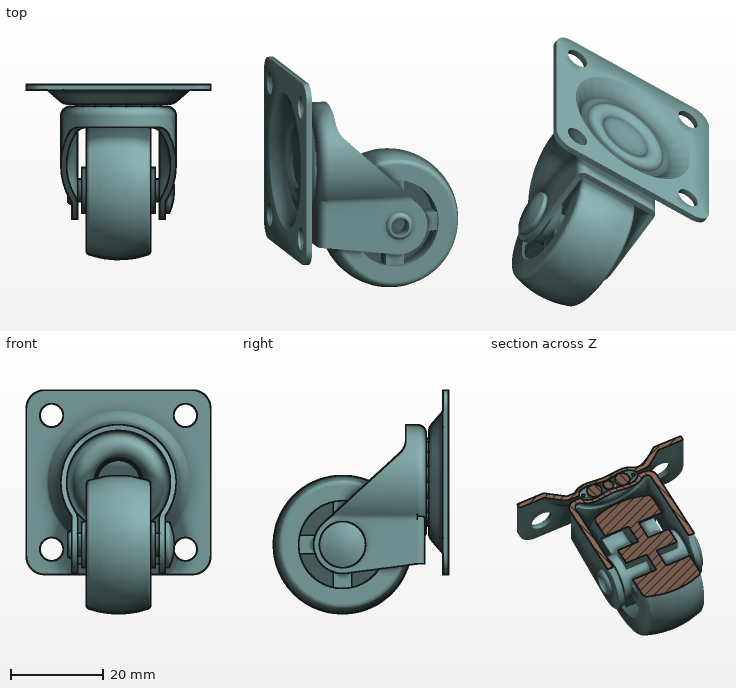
import cadquery as cq
import math


sheet = 1.25

plate_side = 40.0
plate_corner_radius = 4.0
bolt_pitch = 29.0
bolt_diameter = 5.0
dish_base_radius = 15.4
dish_face_radius = 11.9
dish_face_depth = 4.3
dish_root_fillet = 0.5
dish_rim_fillet = 2.4

swivel_gap = 0.5
ball_count = 14
ball_radius = 1.75
race_pitch_radius = 7.8
race_bead_radius = 2.6
ball_depth = dish_face_depth + swivel_gap / 2

kingpin_radius = 4.9
kingpin_end_depth = 7.1
kingpin_chamfer = 0.15

wheel_radius = 15.0
wheel_half_width = 7.0
wheel_crown_radius = 20.0
wheel_edge_fillet = 1.0
window_radius = 9.5
hub_radius = 5.0
hub_half_length = 8.0
web_half_thickness = 1.25
spoke_count = 4
spoke_width = 4.0
spoke_half_length = 6.25
axle_depth = 23.0
axle_z = -13.5

fork_base_depth = dish_face_depth + swivel_gap
cup_radius = 12.5
cup_inner_fillet = 0.8
cup_outer_fillet = cup_inner_fillet + sheet
cup_inner_radius = cup_radius - sheet
cup_floor_depth = fork_base_depth + sheet
cup_front_depth = 9.3
cup_front_fillet = 4.0
slope_start_z = 7.55
bead_pitch_radius = 7.85
fork_bore_radius = bead_pitch_radius - race_bead_radius
valley_radius = cup_inner_radius - cup_inner_fillet
valley_depth = cup_floor_depth + cup_inner_fillet
leg_outer_x = 10.1
leg_inner_x = leg_outer_x - sheet
leg_blend_radius = 2.0
leg_end_radius = 6.25
leg_bottom_z = -17.7
bend_inner_radius = 0.45
bend_outer_radius = bend_inner_radius + sheet
bend_end_depth = fork_base_depth + cup_outer_fillet
web_back_depth = bend_end_depth - bend_outer_radius

legs_height = 30.0
fork_reach = axle_depth + 2 * leg_end_radius

axle_radius = 2.5
rivet_rim_radius = 3.0
rivet_bore_radius = 2.0
rivet_rim_length = 0.95
rivet_rim_fillet = 0.9
rivet_bore_depth = 4.0
head_radius = 5.0
head_rim_length = 0.9
head_edge_fillet = 0.3
head_dome_height = 1.1


def disc_y(radius, near, far):
    """Cylinder along Y between two depths."""
    plane = cq.Workplane("XZ", origin=(0, -near, 0))
    return plane.circle(radius).extrude(far - near)


def disc_x(radius, start, end):
    """Cylinder along the axle between two X positions."""
    plane = cq.Workplane("YZ", origin=(start, -axle_depth, axle_z))
    return plane.circle(radius).extrude(end - start)


def revolve_about_swivel(profile):
    return profile.close().revolve(360, (0, 0, 0), (0, 1, 0))


def ring_about_swivel(pitch_radius, tube_radius, depth):
    """Torus around the swivel axis."""
    tube = cq.Workplane("XY").center(pitch_radius, -depth).circle(tube_radius)
    return tube.revolve(360, (-pitch_radius, 0, 0), (-pitch_radius, 1, 0))


def make_plate():
    flat = cq.Workplane("XZ").rect(plate_side, plate_side).extrude(sheet)
    flat = flat.edges("|Y").fillet(plate_corner_radius)

    dish_height = dish_face_depth - sheet
    dish = revolve_about_swivel(
        cq.Workplane("XY")
        .moveTo(0, -sheet)
        .lineTo(dish_base_radius, -sheet)
        .lineTo(dish_face_radius, -dish_face_depth)
        .lineTo(0, -dish_face_depth)
    )
    dish = dish.faces("<Y").edges().fillet(dish_rim_fillet)
    plate = flat.union(dish)
    dish_root = cq.selectors.NearestToPointSelector((0, -sheet, 0))
    plate = plate.edges("%CIRCLE").edges(dish_root).fillet(dish_root_fillet)

    flank_angle = math.atan2(dish_height, dish_base_radius - dish_face_radius)
    flank_shift = sheet * math.tan(flank_angle / 2)
    hollow = revolve_about_swivel(
        cq.Workplane("XY")
        .lineTo(dish_base_radius - flank_shift, 0)
        .lineTo(dish_face_radius - flank_shift, -dish_height)
        .lineTo(0, -dish_height)
    )
    bead = ring_about_swivel(race_pitch_radius, race_bead_radius, ball_depth)
    plate = plate.cut(hollow.cut(bead))

    plate = plate.cut(ring_about_swivel(race_pitch_radius, ball_radius, ball_depth))
    plate = plate.cut(disc_y(kingpin_radius, 0, fork_base_depth))
    bolts = cq.Workplane("XZ").rect(bolt_pitch, bolt_pitch, forConstruction=True)
    return plate.cut(bolts.vertices().circle(bolt_diameter / 2).extrude(sheet))


def make_ball_ring():
    """Balls packed around the race, each just running into the next."""
    ring = cq.Workplane("XY")
    for index in range(ball_count):
        angle = 2 * math.pi * index / ball_count
        x = race_pitch_radius * math.sin(angle)
        z = race_pitch_radius * math.cos(angle)
        ring = ring.union(cq.Workplane("XY", origin=(x, -ball_depth, z)).sphere(ball_radius))
    return ring


def make_kingpin():
    pin = disc_y(kingpin_radius, dish_face_depth - sheet, kingpin_end_depth)
    return pin.faces("<Y").edges().chamfer(kingpin_chamfer)


def keyhole_prism(radius, half_width, blend):
    """Round cup with two straight legs hanging below it, blended at the joints."""
    plane = cq.Workplane("XZ", origin=(0, -bend_end_depth, 0))
    length = fork_reach - bend_end_depth
    legs = plane.center(0, -legs_height / 2).rect(2 * half_width, legs_height).extrude(length)
    prism = disc_y(radius, bend_end_depth, fork_reach).union(legs)
    joint_z = -math.sqrt(radius**2 - half_width**2)
    for joint_x in (-half_width, half_width):
        joint = cq.selectors.NearestToPointSelector((joint_x, -(bend_end_depth + fork_reach) / 2, joint_z))
        prism = prism.edges("|Y").edges(joint).fillet(blend)
    return prism


def bent_legs(half_width, near, bend_radius):
    """Block between the leg faces with its two rear edges rounded."""
    plane = cq.Workplane("XZ", origin=(0, -near, -legs_height / 2))
    block = plane.rect(2 * half_width, legs_height).extrude(fork_reach - near)
    return block.edges("|Z and >Y").fillet(bend_radius)


def make_cup_cavity():
    """Inside of the cup around the bore, and the raised bead in it that covers the balls."""
    reach = valley_radius - bead_pitch_radius
    spacing = race_bead_radius + cup_inner_fillet
    tilt = math.asin(reach / spacing)
    bead_depth = valley_depth - spacing * math.cos(tilt)

    def bead_point(angle):
        return (
            bead_pitch_radius + race_bead_radius * math.sin(angle),
            -bead_depth - race_bead_radius * math.cos(angle),
        )

    def valley_point(angle):
        return (
            valley_radius - cup_inner_fillet * math.sin(angle),
            -valley_depth + cup_inner_fillet * math.cos(angle),
        )

    cavity = revolve_about_swivel(
        cq.Workplane("XY")
        .moveTo(fork_bore_radius, -fork_reach)
        .lineTo(fork_bore_radius, -bead_depth)
        .threePointArc(bead_point(0), bead_point(tilt))
        .threePointArc(valley_point(0), (cup_inner_radius, -valley_depth))
        .lineTo(cup_inner_radius, -fork_reach)
    )
    bead = ring_about_swivel(bead_pitch_radius, race_bead_radius, bead_depth)
    return cavity, bead


def leg_tangent_point(depth, z, side):
    """Where a line from the given depth and height touches the rounded leg end, as (Y, Z)."""
    run = axle_depth - depth
    rise = z - axle_z
    angle = math.atan2(rise, run) + side * math.acos(leg_end_radius / math.hypot(run, rise))
    return (
        -axle_depth + leg_end_radius * math.cos(angle),
        axle_z + leg_end_radius * math.sin(angle),
    )


def make_fork_side_shape():
    """Side shape of the fork, extruded across its full width."""
    outline = (
        cq.Workplane("YZ")
        .moveTo(0, cup_radius)
        .lineTo(-cup_front_depth, cup_radius)
        .lineTo(-cup_front_depth, slope_start_z)
        .lineTo(*leg_tangent_point(cup_front_depth, slope_start_z, 1))
        .threePointArc(
            (-axle_depth - leg_end_radius, axle_z),
            leg_tangent_point(bend_end_depth, leg_bottom_z, -1),
        )
        .lineTo(-bend_end_depth, leg_bottom_z)
        .lineTo(0, leg_bottom_z)
        .close()
    )
    shape = outline.extrude(cup_radius, both=True)
    corner = cq.selectors.NearestToPointSelector((0, -cup_front_depth, slope_start_z))
    return shape.edges("|X").edges(corner).fillet(cup_front_fillet)


def make_fork():
    cup = disc_y(cup_radius, fork_base_depth, fork_reach)
    cup = cup.faces(">Y").edges().fillet(cup_outer_fillet)
    outside = (
        cup
        .union(bent_legs(leg_outer_x, web_back_depth, bend_outer_radius))
        .union(keyhole_prism(cup_radius, leg_outer_x, leg_blend_radius))
    )
    leg_space = bent_legs(leg_inner_x, web_back_depth + sheet, bend_inner_radius)
    cavity, bead = make_cup_cavity()
    inside = (
        cavity
        .union(leg_space.cut(disc_y(valley_radius, 0, valley_depth)))
        .union(keyhole_prism(cup_inner_radius, leg_inner_x, leg_blend_radius + sheet))
        .cut(bead)
    )
    fork = outside.cut(inside).intersect(make_fork_side_shape())
    fork = fork.cut(disc_y(fork_bore_radius, 0, cup_front_depth))
    fork = fork.cut(ring_about_swivel(race_pitch_radius, ball_radius, ball_depth))
    return fork.cut(disc_x(axle_radius, -leg_outer_x, leg_outer_x))


def make_wheel():
    edge_radius = (
        wheel_radius - wheel_crown_radius + math.sqrt(wheel_crown_radius**2 - wheel_half_width**2)
    )
    rim = (
        cq.Workplane("XY", origin=(0, -axle_depth, axle_z))
        .moveTo(-wheel_half_width, window_radius)
        .lineTo(-wheel_half_width, edge_radius)
        .threePointArc((0, wheel_radius), (wheel_half_width, edge_radius))
        .lineTo(wheel_half_width, window_radius)
        .close()
        .revolve(360, (0, 0, 0), (1, 0, 0))
    )
    outer_edges = cq.selectors.RadiusNthSelector(-1)
    rim = rim.faces("<X or >X").edges(outer_edges).fillet(wheel_edge_fillet)

    wheel = rim.union(disc_x(window_radius, -web_half_thickness, web_half_thickness))
    wheel = wheel.union(disc_x(hub_radius, -hub_half_length, hub_half_length))

    spoke_length = window_radius + (edge_radius - window_radius) / 2
    for index in range(spoke_count):
        spoke = cq.Workplane("XY", origin=(0, -axle_depth, axle_z)).box(
            2 * spoke_half_length, spoke_width, spoke_length, centered=(True, True, False)
        )
        angle = 360 / spoke_count * index
        wheel = wheel.union(spoke.rotate((0, -axle_depth, axle_z), (1, -axle_depth, axle_z), angle))
    return wheel.cut(disc_x(axle_radius, -hub_half_length, hub_half_length))


def make_axle():
    shaft = disc_x(axle_radius, -leg_outer_x, leg_outer_x)

    rivet_end = -leg_outer_x - rivet_rim_length
    rim = disc_x(rivet_rim_radius, rivet_end, -leg_outer_x)
    rim = rim.faces("<X").edges().fillet(rivet_rim_fillet)

    rim_end = leg_outer_x + head_rim_length
    dome_radius = (head_radius**2 + head_dome_height**2) / (2 * head_dome_height)
    dome_middle = head_radius / 2
    dome_middle_x = rim_end + head_dome_height - dome_radius + math.sqrt(dome_radius**2 - dome_middle**2)
    head = (
        cq.Workplane("XY", origin=(0, -axle_depth, axle_z))
        .moveTo(leg_outer_x, 0)
        .lineTo(leg_outer_x, head_radius)
        .lineTo(rim_end, head_radius)
        .threePointArc((dome_middle_x, dome_middle), (rim_end + head_dome_height, 0))
        .close()
        .revolve(360, (0, 0, 0), (1, 0, 0))
    )
    dome_edge = cq.selectors.NearestToPointSelector((rim_end, -axle_depth, axle_z))
    head = head.edges(dome_edge).fillet(head_edge_fillet)

    axle = shaft.union(rim).union(head)
    return axle.cut(disc_x(rivet_bore_radius, rivet_end, rivet_end + rivet_bore_depth))


plate = make_plate()
ball_ring = make_ball_ring()
kingpin = make_kingpin()
fork = make_fork()
wheel = make_wheel()
axle = make_axle()

result = cq.Compound.makeCompound(
    [plate.val(), ball_ring.val(), kingpin.val(), fork.val(), wheel.val(), axle.val()]
)